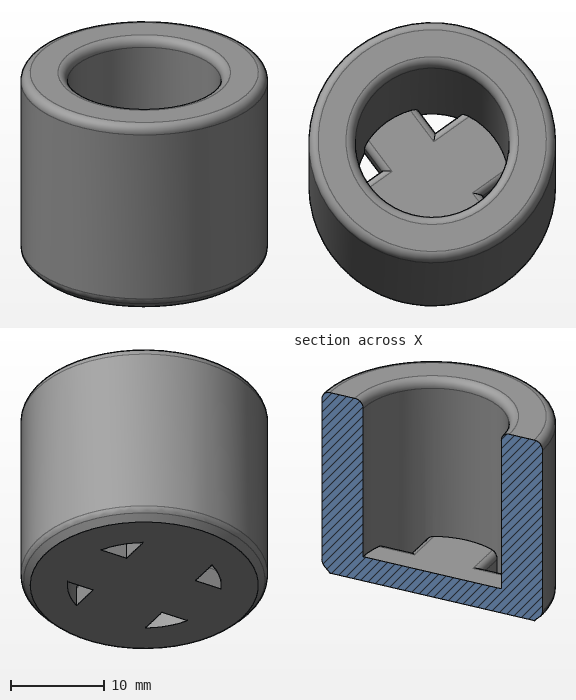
import cadquery as cq

outer_diameter = 26.5
height = 22.0
bore_diameter = 16.5
edge_size = 1.0

x_arm_width = 8.55
y_arm_width = 7.1
cross_thickness = 3.0
arm_edge_radius = 0.77

outer_radius = outer_diameter / 2
bore_radius = bore_diameter / 2


def make_sleeve():
    """Solid cylinder with a softened foot, bored through, with rounded upper rims."""
    body = cq.Workplane("XY").circle(outer_radius).extrude(height)
    body = body.faces("<Z").edges().chamfer(edge_size)
    shoulder = cq.selectors.BoxSelector(
        (-outer_diameter, -outer_diameter, edge_size / 2),
        (outer_diameter, outer_diameter, edge_size * 3 / 2),
        boundingbox=True,
    )
    body = body.edges("%CIRCLE").edges(shoulder).fillet(edge_size)
    bore = cq.Workplane("XY").circle(bore_radius).extrude(height)
    return body.cut(bore).faces(">Z").edges().fillet(edge_size)


def make_arm(length_x, length_y, long_edges):
    """Bar standing on the base plane, with its two long upper edges rounded."""
    bar = cq.Workplane("XY").box(length_x, length_y, cross_thickness, centered=(True, True, False))
    return bar.faces(">Z").edges(long_edges).fillet(arm_edge_radius)


def make_cross():
    """Two crossing arms whose ends run into the sleeve wall."""
    arm_length = bore_diameter + 2 * edge_size
    x_arm = make_arm(arm_length, x_arm_width, "|X")
    y_arm = make_arm(y_arm_width, arm_length, "|Y")
    return x_arm.union(y_arm)


result = make_sleeve().union(make_cross())